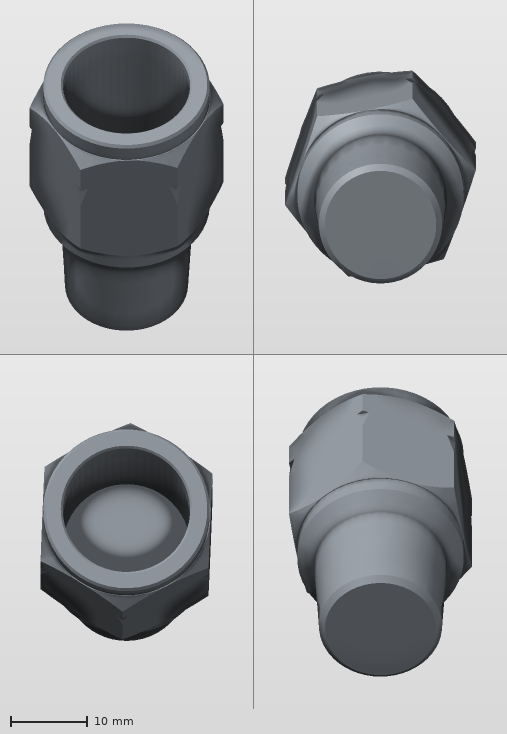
import cadquery as cq
import math

total_height = 40.5
corner_diameter = 25.4
flat_radius = corner_diameter / 2 * math.cos(math.pi / 6)
corner_radius = corner_diameter / 2

collar_radius = 21.8 / 2
rim_chamfer_width = 0.32
rim_chamfer_height = 0.35

hex_top = total_height - 2.6
hex_bottom = 18.95
collar_bottom = 16.52
shoulder_bottom = 14.4

spigot_top_radius = 8.7
spigot_tip_radius = 8.05
tip_chamfer = 0.75

bore_diameter = 16.65
bore_depth = 20.25
bore_chamfer = 0.3

notch_top = 32.45
notch_length = 3.52
notch_depth = 0.5
notch_overhang = 0.4
corner_count = 6


def revolve_profile(points):
    """Revolve a radius-height outline about the Z axis."""
    return cq.Workplane("XZ").polyline(points).close().revolve(360, (0, 0), (0, 1))


def make_round_body():
    return revolve_profile([
        (0, 0),
        (spigot_tip_radius - tip_chamfer, 0),
        (spigot_tip_radius, tip_chamfer),
        (spigot_top_radius, shoulder_bottom),
        (collar_radius, collar_bottom),
        (collar_radius, total_height - rim_chamfer_height),
        (collar_radius - rim_chamfer_width, total_height),
        (0, total_height),
    ])


def make_hexagon():
    """Hexagonal prism with its corners turned off by 45 degree cones."""
    prism = (
        cq.Workplane("XY").workplane(offset=hex_bottom)
        .polygon(corner_count, corner_diameter).extrude(hex_top - hex_bottom)
    )
    corner_cut = corner_radius - flat_radius
    envelope = revolve_profile([
        (0, hex_bottom),
        (flat_radius, hex_bottom),
        (corner_radius, hex_bottom + corner_cut),
        (corner_radius, hex_top - corner_cut),
        (flat_radius, hex_top),
        (0, hex_top),
    ])
    return prism.intersect(envelope)


def make_corner_notch():
    """Wedge cutter on the +X corner, deepest at its flat top."""
    slope = notch_depth / notch_length
    outer_radius = corner_radius + notch_overhang
    outer_height = notch_top - notch_length - notch_overhang / slope
    return (
        cq.Workplane("XZ")
        .polyline([
            (corner_radius - notch_depth, notch_top),
            (outer_radius, notch_top),
            (outer_radius, outer_height),
        ])
        .close()
        .extrude(flat_radius / 2, both=True)
    )


def make_bore():
    bore_radius = bore_diameter / 2
    return revolve_profile([
        (0, total_height - bore_depth),
        (bore_radius, total_height - bore_depth),
        (bore_radius, total_height - bore_chamfer),
        (bore_radius + bore_chamfer, total_height),
        (0, total_height),
    ])


hexagon = make_hexagon()
for index in range(corner_count):
    angle = index * 360 / corner_count
    hexagon = hexagon.cut(make_corner_notch().rotate((0, 0, 0), (0, 0, 1), angle))

result = make_round_body().union(hexagon).cut(make_bore())